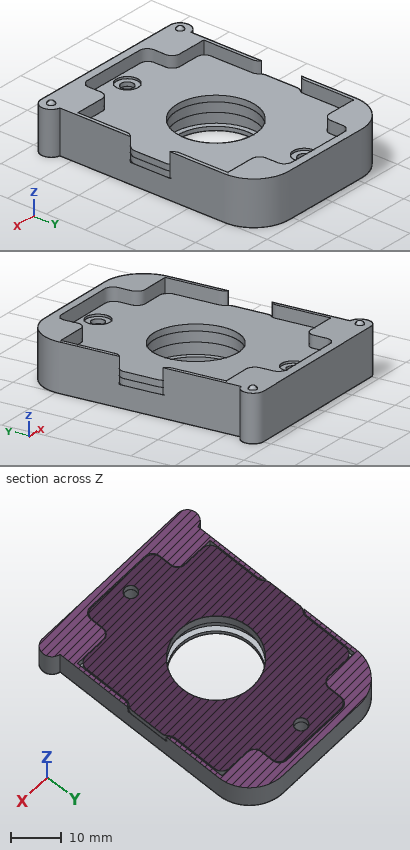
import cadquery as cq
import math


half_width = 20.15
back_y = 28.15
front_y = -28.3
back_corner_radius = 9.0
back_height = 11.0
front_height = 10.8

ear_radius = 2.5
ear_x = 19.8
ear_depth = 5.1
ear_y = front_y + ear_depth / 2
pip_radius = 1.0
pip_top = 11.45

floor_z = 5.0
fit_gap = 0.2
neck_gap = 0.05
blend_radius = 2.0
pocket_half_width = 19.3
pocket_half_length = 26.25
pocket_shoulder_y = 19.25
pocket_neck_half_width = 9.95
slot_half_width = 5.1

plate_thickness = 1.5
plate_half_width = pocket_half_width - fit_gap
plate_half_length = pocket_half_length - fit_gap
plate_shoulder_y = pocket_shoulder_y - neck_gap
plate_neck_half_width = pocket_neck_half_width - neck_gap
upper_plate_z = floor_z + plate_thickness
tab_flat_half_width = 3.95

window_diameter = 19.5
collar_diameter = 21.5
bore_diameter = 22.0
lip_thickness = 1.0
collar_length = 0.85

screw_y = 22.75
screw_diameter = 3.0
counterbore_diameter = 5.5
counterbore_depth = 0.5


def cylinder(diameter, z_bottom, z_top, y=0.0):
    """Upright cylinder on the centre line."""
    base = cq.Workplane("XY", origin=(0, y, z_bottom))
    return base.circle(diameter / 2).extrude(z_top - z_bottom)


def drill_screw_holes(body):
    """Cut both screw clearance holes through a body."""
    for y in (-screw_y, screw_y):
        body = body.cut(cylinder(screw_diameter, 0, back_height, y))
    return body


def cross_block(half_w, shoulder_y, neck_half_w, half_l, z_bottom, height):
    """Wide middle with a narrower neck at each end; the neck corners are rounded."""
    base = cq.Workplane("XY", origin=(0, 0, z_bottom))
    middle = base.rect(2 * half_w, 2 * shoulder_y).extrude(height)
    necks = base.rect(2 * neck_half_w, 2 * half_l).extrude(height)
    reach_x = neck_half_w + blend_radius
    reach_y = half_l + blend_radius
    neck_corners = cq.selectors.BoxSelector(
        (-reach_x, -reach_y, z_bottom),
        (reach_x, reach_y, z_bottom + height),
    )
    return middle.union(necks).edges("|Z").edges(neck_corners).fillet(blend_radius)


def on_both_sides(body):
    """A feature of the +X side together with its mirror image."""
    return body.union(body.mirror("YZ"))


def side_slots():
    """Openings in the thin side walls, whose ends round off towards the pocket."""
    wall = half_width - pocket_half_width
    round_length = math.sqrt(blend_radius**2 - (blend_radius - wall) ** 2)
    past_wall = half_width + wall
    slot = (
        cq.Workplane("XY", origin=(0, 0, floor_z))
        .moveTo(pocket_half_width, 0)
        .lineTo(pocket_half_width, slot_half_width + round_length)
        .radiusArc((half_width, slot_half_width), -blend_radius)
        .lineTo(past_wall, slot_half_width)
        .lineTo(past_wall, 0)
        .mirrorX()
        .extrude(back_height - floor_z)
    )
    return on_both_sides(slot)


def side_tabs(z_bottom):
    """Tabs that fill the side slots, joined to the plate by S-curves of two equal arcs."""
    reach = half_width - plate_half_width
    arc_length_y = math.sqrt(blend_radius**2 - (blend_radius - reach / 2) ** 2)
    tab = (
        cq.Workplane("XY", origin=(0, 0, z_bottom))
        .moveTo(plate_half_width, 0)
        .lineTo(plate_half_width, tab_flat_half_width + 2 * arc_length_y)
        .radiusArc((plate_half_width + reach / 2, tab_flat_half_width + arc_length_y), -blend_radius)
        .radiusArc((half_width, tab_flat_half_width), blend_radius)
        .lineTo(half_width, 0)
        .mirrorX()
        .extrude(plate_thickness)
    )
    return on_both_sides(tab)


def plate_blank(z_bottom):
    """Cross-shaped plate with rounded outer corners, side tabs and screw holes."""
    plate = cross_block(
        plate_half_width,
        plate_shoulder_y,
        plate_neck_half_width,
        plate_half_length,
        z_bottom,
        plate_thickness,
    )
    plate = plate.edges("|Z").edges("<X or >X").fillet(blend_radius)
    return drill_screw_holes(plate.union(side_tabs(z_bottom)))


def make_housing():
    """Deep tray with a cross-shaped pocket, slotted side walls and a bored floor."""
    housing = (
        cq.Workplane("XY", origin=(0, (back_y + ear_y) / 2, 0))
        .rect(2 * half_width, back_y - ear_y)
        .extrude(back_height)
        .edges("|Z and >Y")
        .fillet(back_corner_radius)
    )

    front_step = back_height - front_height
    housing = housing.cut(
        cq.Workplane("XY", origin=(0, front_y / 2, front_height))
        .rect(2 * half_width, -front_y)
        .extrude(front_step)
    )

    ears = (
        cq.Workplane("XY", origin=(0, ear_y, 0))
        .rect(2 * (ear_x + ear_radius), ear_depth)
        .extrude(front_height)
        .edges("|Z")
        .fillet(ear_radius)
    )
    housing = housing.union(ears)

    pocket = cross_block(
        pocket_half_width,
        pocket_shoulder_y,
        pocket_neck_half_width,
        pocket_half_length,
        floor_z,
        back_height - floor_z,
    )
    housing = housing.cut(pocket).cut(side_slots())
    housing = housing.cut(cylinder(window_diameter, 0, floor_z))
    housing = housing.cut(cylinder(bore_diameter, lip_thickness, floor_z))
    housing = drill_screw_holes(housing)

    for x in (-ear_x, ear_x):
        pip = cq.Workplane("XY").sphere(pip_radius).translate((x, ear_y, pip_top - pip_radius))
        housing = housing.union(pip)
    return housing


def make_lower_plate():
    """Plate on the pocket floor, with a collar that hangs down into the housing bore."""
    collar = cylinder(collar_diameter, floor_z - collar_length, floor_z)
    plate = plate_blank(floor_z).union(collar)
    return plate.cut(cylinder(window_diameter, 0, back_height))


def make_upper_plate():
    """Covering plate with counterbored screw holes."""
    plate = plate_blank(upper_plate_z).cut(cylinder(window_diameter, 0, back_height))
    top_z = upper_plate_z + plate_thickness
    for y in (-screw_y, screw_y):
        plate = plate.cut(cylinder(counterbore_diameter, top_z - counterbore_depth, top_z, y))
    return plate


housing = make_housing().solids()
lower_plate = make_lower_plate().solids()
upper_plate = make_upper_plate().solids()

result = cq.Compound.makeCompound([housing.val(), lower_plate.val(), upper_plate.val()])